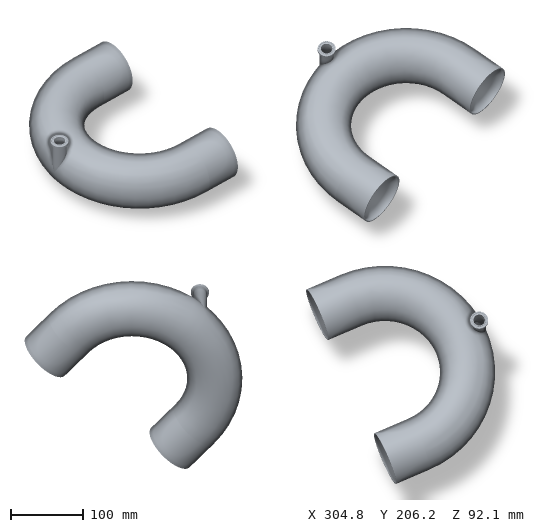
import cadquery as cq
import math

PIPE_OD = 76.2
PIPE_ID = 72.9
BEND_RADIUS = 114.3
LEG_LENGTH = 50.8

BRANCH_OD = 19.05
BRANCH_ID = 15.75
BRANCH_TOP_Z = 53.975
BRANCH_Y = -(BEND_RADIUS + PIPE_OD / 2 - BRANCH_OD / 2)

FERRULE_LENGTH = 12.7
FLANGE_OD = 24.99
FLANGE_RIM_BOTTOM = 3.6
FLANGE_BEVEL_ANGLE = 20
UNDERSIDE_FILLET = 0.8
FLANGE_CHAMFER = 0.4

GROOVE_OD = 21.89
GROOVE_ID = 17.9
GROOVE_DEPTH = 0.8


def u_bend(diameter):
    """Solid round bar following the U-shaped centreline."""
    path = (
        cq.Workplane("XY")
        .moveTo(-BEND_RADIUS, LEG_LENGTH)
        .lineTo(-BEND_RADIUS, 0)
        .threePointArc((0, -BEND_RADIUS), (BEND_RADIUS, 0))
        .lineTo(BEND_RADIUS, LEG_LENGTH)
    )
    section = cq.Workplane("XZ", origin=(-BEND_RADIUS, LEG_LENGTH, 0)).circle(diameter / 2)
    return section.sweep(path)


def branch_cylinder(diameter, top_z):
    """Vertical cylinder on the branch axis, rising from the mid-plane of the pipe."""
    return cq.Workplane("XY", origin=(0, BRANCH_Y, 0)).circle(diameter / 2).extrude(top_z)


def ferrule():
    """Clamp ferrule revolved about the branch axis, with its bore left solid."""
    flange_radius = FLANGE_OD / 2
    rim_z = BRANCH_TOP_Z - FLANGE_RIM_BOTTOM
    neck_radius = BRANCH_OD / 2
    slope = math.radians(FLANGE_BEVEL_ANGLE)
    corner_z = rim_z - (flange_radius - neck_radius) * math.tan(slope)

    tangent_length = UNDERSIDE_FILLET * math.tan((math.pi / 2 - slope) / 2)
    neck_tangent = (neck_radius, corner_z - tangent_length)
    bevel_tangent = (
        neck_radius + tangent_length * math.cos(slope),
        corner_z + tangent_length * math.sin(slope),
    )
    base_z = BRANCH_TOP_Z - FERRULE_LENGTH
    groove_centre = (GROOVE_OD + GROOVE_ID) / 4
    return (
        cq.Workplane("XZ", origin=(0, BRANCH_Y, 0))
        .moveTo(0, base_z)
        .lineTo(neck_radius, base_z)
        .lineTo(*neck_tangent)
        .tangentArcPoint(bevel_tangent, relative=False)
        .lineTo(flange_radius, rim_z)
        .lineTo(flange_radius, BRANCH_TOP_Z - FLANGE_CHAMFER)
        .lineTo(flange_radius - FLANGE_CHAMFER, BRANCH_TOP_Z)
        .lineTo(GROOVE_OD / 2, BRANCH_TOP_Z)
        .threePointArc(
            (groove_centre, BRANCH_TOP_Z - GROOVE_DEPTH),
            (GROOVE_ID / 2, BRANCH_TOP_Z),
        )
        .lineTo(0, BRANCH_TOP_Z)
        .close()
        .revolve(360, (0, 0, 0), (0, 1, 0))
    )


branch = branch_cylinder(BRANCH_OD, BRANCH_TOP_Z - FERRULE_LENGTH).union(ferrule(), clean=False)
outside = u_bend(PIPE_OD).union(branch, clean=False)
branch_bore = branch_cylinder(BRANCH_ID, BRANCH_TOP_Z)
hollow = outside.cut(u_bend(PIPE_ID), clean=False).cut(branch_bore, clean=False)
result = cq.Workplane(hollow.solids().val())